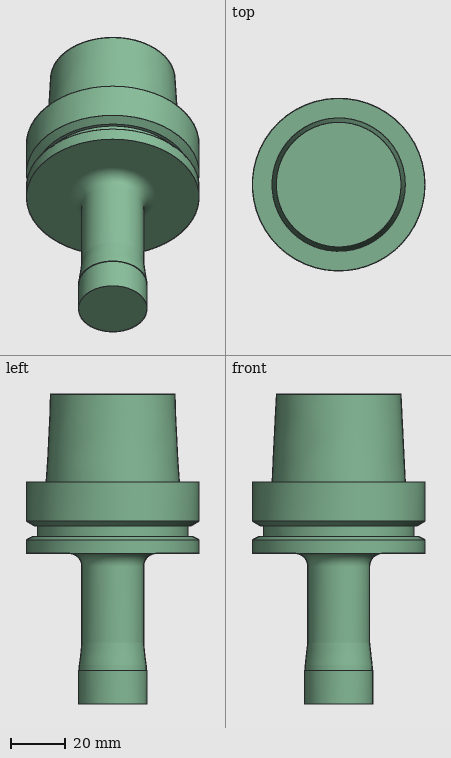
import cadquery as cq

total_height = 112.9
head_top = 12.2
collar_top = 14.2
cone_top = 22.4
flange_bottom = 54.9
groove_lower_rim = 59.8
groove_bottom = 61.1
groove_top = 64.9
groove_upper_rim = 66.6
flange_top = 81.0

head_radius = 25.0 / 2
collar_bottom_radius = 12.3
collar_top_radius = 12.2
shank_radius = 22.6 / 2
flange_radius = 62.9 / 2
groove_radius = 55.0 / 2
lower_lip_radius = 29.1
upper_lip_radius = 28.6
taper_base_radius = 24.3
taper_top_radius = 22.7

shank_fillet = 4.6


def make_cutting_head():
    """Plain cylindrical head at the lower end of the shank."""
    return cq.Workplane("XY").circle(head_radius).extrude(head_top)


def make_shank():
    """Slender shank that widens to a collar and flares into the flange."""
    arc_bottom = flange_bottom - shank_fillet
    arc_end_radius = shank_radius + shank_fillet
    profile = (
        cq.Workplane("XZ")
        .moveTo(0, head_top)
        .lineTo(collar_bottom_radius, head_top)
        .lineTo(collar_top_radius, collar_top)
        .lineTo(shank_radius, cone_top)
        .lineTo(shank_radius, arc_bottom)
        .radiusArc((arc_end_radius, flange_bottom), shank_fillet)
        .lineTo(0, flange_bottom)
        .close()
    )
    return profile.revolve(360, (0, 0, 0), (0, 1, 0))


def make_flange():
    """Disc with a gripper groove whose mouth is bevelled on both sides."""
    profile = (
        cq.Workplane("XZ")
        .moveTo(0, flange_bottom)
        .lineTo(flange_radius, flange_bottom)
        .lineTo(flange_radius, groove_lower_rim)
        .lineTo(lower_lip_radius, groove_bottom)
        .lineTo(groove_radius, groove_bottom)
        .lineTo(groove_radius, groove_top)
        .lineTo(upper_lip_radius, groove_top)
        .lineTo(flange_radius, groove_upper_rim)
        .lineTo(flange_radius, flange_top)
        .lineTo(0, flange_top)
        .close()
    )
    return profile.revolve(360, (0, 0, 0), (0, 1, 0))


def make_taper():
    """Conical spindle connection above the flange."""
    profile = (
        cq.Workplane("XZ")
        .moveTo(0, flange_top)
        .lineTo(taper_base_radius, flange_top)
        .lineTo(taper_top_radius, total_height)
        .lineTo(0, total_height)
        .close()
    )
    return profile.revolve(360, (0, 0, 0), (0, 1, 0))


def make_holder():
    """Tool holder: shank, flange and taper as one solid."""
    return make_shank().union(make_flange()).union(make_taper())


cutting_head = make_cutting_head()
holder = make_holder()

result = cq.Compound.makeCompound([cutting_head.val(), *holder.solids().vals()])